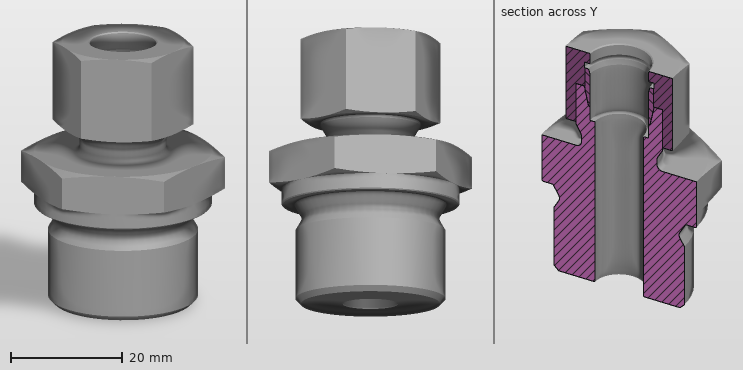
import cadquery as cq
import math


total_height = 48.5
flange_bottom = 18.1
hex_bottom = 20.95
hex_top = 28.05
nut_bottom = 33.0

body_hex_flats = 32.0
nut_hex_flats = 22.0
corner_chamfer_angle = math.radians(15)

thread_radius = 27.0 / 2
thread_end_chamfer = 0.95
thread_top = 13.35
groove_slope = math.radians(30)
groove_lower_cone_height = 1.7
groove_fillet = 1.0
flange_radius = body_hex_flats / 2
flange_edge_chamfer = 0.2

neck_radius = 15.7 / 2
neck_fillet = 1.0
neck_cone_bottom = 30.75
neck_slope = math.radians(30)
stud_radius = 18.0 / 2
stud_top = 41.22

bore_radius = 10.0 / 2
tube_radius = 12.0 / 2
tube_stop = 34.25

ring_outer_radius = 14.3 / 2
ring_top = 45.1
ring_mouth_radius = 12.6 / 2
ring_mouth_depth = 1.0
ring_nose_radius = 6.3
ring_cone_angle = math.radians(12)
ring_bottom = stud_top - (ring_outer_radius - ring_nose_radius) / math.tan(ring_cone_angle)

nut_mouth_chamfer = 0.21
nut_lip_thickness = 2.3


def revolve_about_z(profile):
    """Turn a closed (radius, height) profile drawn on the XZ plane about the Z axis."""
    return profile.close().revolve(360, (0, 0, 0), (0, 1, 0))


def chamfered_hexagon(flats, bottom, top):
    """Hexagonal prism with two flats facing X and its corners turned off at both ends."""
    corner_radius = flats / 2 / math.cos(math.radians(30))
    face_radius = flats / 2
    drop = (corner_radius - face_radius) * math.tan(corner_chamfer_angle)
    prism = (
        cq.Workplane("XY")
        .workplane(offset=bottom)
        .polygon(6, 2 * corner_radius)
        .extrude(top - bottom)
        .rotate((0, 0, 0), (0, 0, 1), 30)
    )
    turned_blank = revolve_about_z(
        cq.Workplane("XZ")
        .moveTo(0, bottom)
        .lineTo(face_radius, bottom)
        .lineTo(corner_radius, bottom + drop)
        .lineTo(corner_radius, top - drop)
        .lineTo(face_radius, top)
        .lineTo(0, top)
    )
    return prism.intersect(turned_blank)


def make_screw_end():
    """Threaded end, run-out groove and flange below the body hexagon."""
    fillet_start_z = thread_top + groove_lower_cone_height
    fillet_start_radius = thread_radius - groove_lower_cone_height * math.tan(groove_slope)
    fillet_height = 2 * groove_fillet * math.sin(groove_slope)
    throat_radius = fillet_start_radius - groove_fillet * (1 - math.cos(groove_slope))
    fillet_end_z = fillet_start_z + fillet_height
    groove_top_radius = fillet_start_radius + (flange_bottom - fillet_end_z) * math.tan(groove_slope)
    return revolve_about_z(
        cq.Workplane("XZ")
        .lineTo(thread_radius - thread_end_chamfer, 0)
        .lineTo(thread_radius, thread_end_chamfer)
        .lineTo(thread_radius, thread_top)
        .lineTo(fillet_start_radius, fillet_start_z)
        .threePointArc(
            (throat_radius, fillet_start_z + fillet_height / 2),
            (fillet_start_radius, fillet_end_z),
        )
        .lineTo(groove_top_radius, flange_bottom)
        .lineTo(flange_radius - flange_edge_chamfer, flange_bottom)
        .lineTo(flange_radius, flange_bottom + flange_edge_chamfer)
        .lineTo(flange_radius, hex_bottom)
        .lineTo(0, hex_bottom)
    )


def make_neck_and_stud():
    """Filleted neck above the hexagon, flaring out to the stud inside the nut."""
    cone_bottom_radius = neck_radius + neck_fillet * (1 - math.cos(neck_slope))
    cone_height = (stud_radius - cone_bottom_radius) / math.tan(neck_slope)
    upper_fillet_start = neck_cone_bottom - neck_fillet * math.sin(neck_slope)
    half_slope = neck_slope / 2
    lower_mid = neck_fillet * (1 - math.sqrt(0.5))
    return revolve_about_z(
        cq.Workplane("XZ")
        .moveTo(0, hex_top)
        .lineTo(neck_radius + neck_fillet, hex_top)
        .threePointArc(
            (neck_radius + lower_mid, hex_top + lower_mid),
            (neck_radius, hex_top + neck_fillet),
        )
        .lineTo(neck_radius, upper_fillet_start)
        .threePointArc(
            (
                neck_radius + neck_fillet * (1 - math.cos(half_slope)),
                upper_fillet_start + neck_fillet * math.sin(half_slope),
            ),
            (cone_bottom_radius, neck_cone_bottom),
        )
        .lineTo(stud_radius, neck_cone_bottom + cone_height)
        .lineTo(stud_radius, stud_top)
        .lineTo(0, stud_top)
    )


def make_body_bore():
    """Through bore, tube socket and the conical seat of the cutting ring."""
    return revolve_about_z(
        cq.Workplane("XZ")
        .lineTo(bore_radius, 0)
        .lineTo(bore_radius, tube_stop)
        .lineTo(tube_radius, tube_stop)
        .lineTo(tube_radius, ring_bottom)
        .lineTo(ring_nose_radius, ring_bottom)
        .lineTo(ring_outer_radius, stud_top)
        .lineTo(0, stud_top)
    )


def make_body():
    hexagon = chamfered_hexagon(body_hex_flats, hex_bottom, hex_top)
    return make_screw_end().union(hexagon).union(make_neck_and_stud()).cut(make_body_bore())


def make_cutting_ring():
    """Ring with a conical nose in the body and a slightly flared mouth under the nut."""
    return revolve_about_z(
        cq.Workplane("XZ")
        .moveTo(tube_radius, ring_bottom)
        .lineTo(ring_nose_radius, ring_bottom)
        .lineTo(ring_outer_radius, stud_top)
        .lineTo(ring_outer_radius, ring_top)
        .lineTo(ring_mouth_radius, ring_top)
        .lineTo(tube_radius, ring_top - ring_mouth_depth)
    )


def make_nut():
    """Union nut with a tube opening, a ring chamber and a bore around the stud."""
    lip_bottom = total_height - nut_lip_thickness
    cavity = revolve_about_z(
        cq.Workplane("XZ")
        .moveTo(0, nut_bottom)
        .lineTo(stud_radius, nut_bottom)
        .lineTo(stud_radius, stud_top)
        .lineTo(ring_outer_radius, stud_top)
        .lineTo(ring_outer_radius, lip_bottom)
        .lineTo(tube_radius, lip_bottom)
        .lineTo(tube_radius, total_height - nut_mouth_chamfer)
        .lineTo(tube_radius + nut_mouth_chamfer, total_height)
        .lineTo(0, total_height)
    )
    return chamfered_hexagon(nut_hex_flats, nut_bottom, total_height).cut(cavity)


body = make_body()
cutting_ring = make_cutting_ring()
nut = make_nut()

result = cq.Compound.makeCompound([body.val(), cutting_ring.val(), nut.val()])